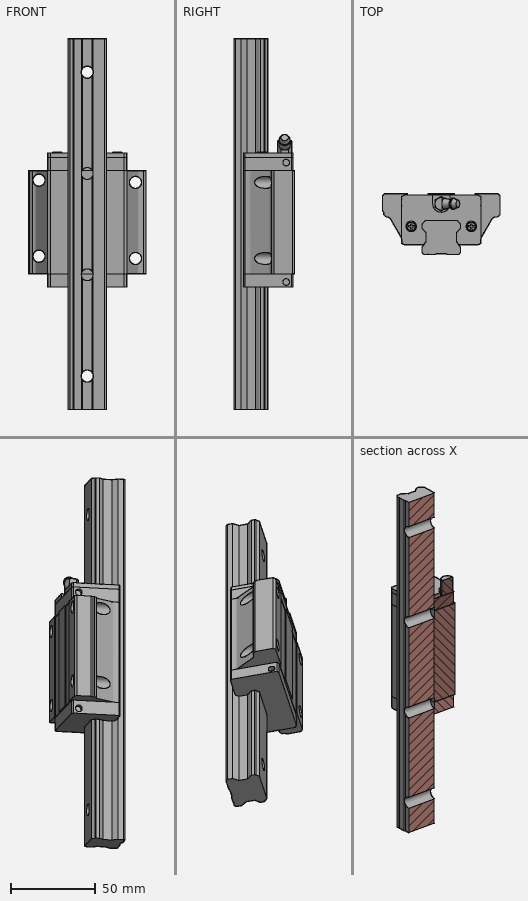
import cadquery as cq
import math


RAIL_LENGTH = 220.0
RAIL_HEIGHT = 20.2
RAIL_HALF_WIDTH = 11.5
RAIL_NECK_HALF_WIDTH = 9.0
RAIL_BASE_CHAMFER = 1.0
RAIL_FOOT_TOP = 4.5
RAIL_NECK_BOTTOM = 7.7
RAIL_NECK_TOP = 13.0
RAIL_HEAD_BOTTOM = 15.2
RAIL_CHAMFER = 1.8
RAIL_EASE_WIDTH = 0.33
RAIL_EASE_HEIGHT = 0.7
RAIL_HOLE_DIAMETER = 7.0
RAIL_HOLE_PITCH = 60.0
RAIL_HOLE_COUNT = 4
RELIEF_MOUTH_HALF_WIDTH = 3.5
RELIEF_FLOOR_HALF_WIDTH = 2.9
RELIEF_DEPTH = 0.5
MARK_GROOVE_X = -8.1
MARK_GROOVE_WIDTH = 0.7
MARK_GROOVE_DEPTH = 0.33

TOTAL_HEIGHT = 36.0
BLOCK_LENGTH = 61.2
BLOCK_CENTER_Z = 1.0
FLANGE_HALF_WIDTH = 35.0
FLANGE_BOTTOM = 22.2
FLANGE_TOP_CHAMFER = 1.3
FLANGE_BOTTOM_CHAMFER = 1.5
STEP_DEPTH = 0.9
STEP_TOP = 26.2
STEP_BOTTOM = 24.9
BODY_HALF_WIDTH = 23.5
BODY_BOTTOM = 5.7
BODY_CHAMFER_WIDTH = 1.65
BODY_CHAMFER_HEIGHT = 0.9
SLOPE_BOTTOM = 9.7
SLOPE_ANGLE = 30.0
SLOPE_TOP_FILLET = 2.6
SLOPE_BOTTOM_FILLET = 4.0
PAD_INNER_HALF_WIDTH = 8.0
PAD_OUTER_X = 20.0
CHANNEL_DEPTH = 0.7
BOLT_HOLE_DIAMETER = 7.0
BOLT_HOLE_X = 28.5
BOLT_HOLE_PITCH = 45.0
BOLT_CENTER_Z_LEFT = 3.5
BOLT_CENTER_Z_RIGHT = 2.2

CAP_LENGTH = 8.0
CAP_TOP = 35.2
SEAL_THICKNESS = 2.6
PORT_DIAMETER = 4.0
PORT_DEPTH = 3.3
PORT_Y = 31.0
PORT_INSET = 4.8
SCREW_X = 17.8
SCREW_Y = 16.7
SCREW_HEAD_RADIUS = 3.0
SCREW_CROWN_RADIUS = 2.5
SCREW_HEAD_HEIGHT = 0.55
SCREW_SLOT_LENGTH = 3.0
SCREW_SLOT_WIDTH = 0.9
NOTCH_RADIUS = 5.0

NIPPLE_Y = 30.1
NIPPLE_CORNERS = 8.5
NIPPLE_TOP_Z = 49.7
NIPPLE_CORNER_BEVEL = 0.7
NIPPLE_FLAT_EDGE_X = 0.5
NOZZLE_ANGLE = 30.0
NOZZLE_BASE_RADIUS = 3.3
NOZZLE_NECK_RADIUS = 2.2
NOZZLE_HEAD_RADIUS = 3.3
NOZZLE_TIP_RADIUS = 2.2
NOZZLE_ROOT = 0.7
NOZZLE_NECK_AT = 4.2
NOZZLE_HEAD_START = 5.3
NOZZLE_HEAD_END = 6.2
NOZZLE_LENGTH = 9.0

BLOCK_TOP_Z = BLOCK_CENTER_Z + BLOCK_LENGTH / 2
BLOCK_BOTTOM_Z = BLOCK_CENTER_Z - BLOCK_LENGTH / 2
SEAL_Z = BLOCK_TOP_Z + CAP_LENGTH
SEAL_TOP_Z = SEAL_Z + SEAL_THICKNESS


def prism(points, z_start, length):
    """Extrude a closed XY outline upward from z_start."""
    return cq.Workplane("XY").workplane(offset=z_start).polyline(points).close().extrude(length)


def mirrored(right_side):
    """Close an outline from its +X side, listed from bottom to top."""
    return right_side + [(-x, y) for x, y in reversed(right_side)]


def cross_hole(x, z, diameter):
    """Cylinder along Y through the full height of the guide."""
    return (
        cq.Workplane("XZ", origin=(x, TOTAL_HEIGHT, z))
        .circle(diameter / 2)
        .extrude(TOTAL_HEIGHT)
    )


def rail_blank(z_start, length):
    """Plain rail profile, also used to cut the passage in the carriage parts."""
    right_side = [
        (RAIL_HALF_WIDTH - RAIL_BASE_CHAMFER, 0),
        (RAIL_HALF_WIDTH, RAIL_BASE_CHAMFER),
        (RAIL_HALF_WIDTH, RAIL_FOOT_TOP),
        (RAIL_NECK_HALF_WIDTH, RAIL_NECK_BOTTOM),
        (RAIL_NECK_HALF_WIDTH, RAIL_NECK_TOP),
        (RAIL_HALF_WIDTH - RAIL_EASE_WIDTH, RAIL_HEAD_BOTTOM),
        (RAIL_HALF_WIDTH, RAIL_HEAD_BOTTOM + RAIL_EASE_HEIGHT),
        (RAIL_HALF_WIDTH, RAIL_HEIGHT - RAIL_CHAMFER - RAIL_EASE_HEIGHT),
        (RAIL_HALF_WIDTH - RAIL_EASE_WIDTH, RAIL_HEIGHT - RAIL_CHAMFER),
        (RAIL_HALF_WIDTH - RAIL_EASE_WIDTH - RAIL_CHAMFER, RAIL_HEIGHT),
    ]
    return prism(mirrored(right_side), z_start, length)


def make_rail():
    bottom_z = -RAIL_LENGTH / 2
    rail = rail_blank(bottom_z, RAIL_LENGTH)

    relief = [(RELIEF_MOUTH_HALF_WIDTH, 0), (RELIEF_FLOOR_HALF_WIDTH, RELIEF_DEPTH)]
    rail = rail.cut(prism(mirrored(relief), bottom_z, RAIL_LENGTH))

    mark_groove = [
        (MARK_GROOVE_X - MARK_GROOVE_WIDTH / 2, 0),
        (MARK_GROOVE_X + MARK_GROOVE_WIDTH / 2, 0),
        (MARK_GROOVE_X, MARK_GROOVE_DEPTH),
    ]
    rail = rail.cut(prism(mark_groove, bottom_z, RAIL_LENGTH))

    for i in range(RAIL_HOLE_COUNT):
        z = (i - (RAIL_HOLE_COUNT - 1) / 2) * RAIL_HOLE_PITCH
        rail = rail.cut(cross_hole(0, z, RAIL_HOLE_DIAMETER))
    return rail


def make_block():
    slope_top_x = BODY_HALF_WIDTH + (FLANGE_BOTTOM - SLOPE_BOTTOM) * math.tan(math.radians(SLOPE_ANGLE))
    right_side = [
        (BODY_HALF_WIDTH - BODY_CHAMFER_WIDTH, BODY_BOTTOM),
        (BODY_HALF_WIDTH, BODY_BOTTOM + BODY_CHAMFER_HEIGHT),
        (BODY_HALF_WIDTH, SLOPE_BOTTOM),
        (slope_top_x, FLANGE_BOTTOM),
        (FLANGE_HALF_WIDTH - FLANGE_BOTTOM_CHAMFER, FLANGE_BOTTOM),
        (FLANGE_HALF_WIDTH, FLANGE_BOTTOM + FLANGE_BOTTOM_CHAMFER),
        (FLANGE_HALF_WIDTH, TOTAL_HEIGHT - FLANGE_TOP_CHAMFER),
        (FLANGE_HALF_WIDTH - FLANGE_TOP_CHAMFER, TOTAL_HEIGHT),
        (PAD_OUTER_X, TOTAL_HEIGHT),
        (PAD_OUTER_X, TOTAL_HEIGHT - CHANNEL_DEPTH),
        (PAD_INNER_HALF_WIDTH, TOTAL_HEIGHT - CHANNEL_DEPTH),
        (PAD_INNER_HALF_WIDTH, TOTAL_HEIGHT),
    ]
    block = prism(mirrored(right_side), BLOCK_BOTTOM_Z, BLOCK_LENGTH)

    for side in (-1, 1):
        for x, y, radius in (
            (slope_top_x, FLANGE_BOTTOM, SLOPE_TOP_FILLET),
            (BODY_HALF_WIDTH, SLOPE_BOTTOM, SLOPE_BOTTOM_FILLET),
        ):
            corner = cq.NearestToPointSelector((side * x, y, BLOCK_CENTER_Z))
            block = block.edges(corner).fillet(radius)

    step_x = -FLANGE_HALF_WIDTH + STEP_DEPTH
    step = [
        (-FLANGE_HALF_WIDTH, STEP_TOP),
        (step_x, STEP_BOTTOM),
        (step_x, FLANGE_BOTTOM + FLANGE_BOTTOM_CHAMFER),
        (step_x + FLANGE_BOTTOM_CHAMFER, FLANGE_BOTTOM),
        (-FLANGE_HALF_WIDTH, FLANGE_BOTTOM),
    ]
    block = block.cut(prism(step, BLOCK_BOTTOM_Z, BLOCK_LENGTH))

    for x, center_z in ((-BOLT_HOLE_X, BOLT_CENTER_Z_LEFT), (BOLT_HOLE_X, BOLT_CENTER_Z_RIGHT)):
        for end in (-1, 1):
            z = center_z + end * BOLT_HOLE_PITCH / 2
            block = block.cut(cross_hole(x, z, BOLT_HOLE_DIAMETER))
    return block.cut(rail_blank(BLOCK_BOTTOM_Z, BLOCK_LENGTH))


def end_plate(z_start, thickness):
    """Saddle-shaped plate around the rail, shared by the end caps and the seal."""
    right_side = [
        (BODY_HALF_WIDTH - BODY_CHAMFER_WIDTH, BODY_BOTTOM),
        (BODY_HALF_WIDTH, BODY_BOTTOM + BODY_CHAMFER_HEIGHT),
        (BODY_HALF_WIDTH, CAP_TOP - BODY_CHAMFER_HEIGHT),
        (BODY_HALF_WIDTH - BODY_CHAMFER_WIDTH, CAP_TOP),
    ]
    return prism(mirrored(right_side), z_start, thickness).cut(rail_blank(z_start, thickness))


def make_end_cap(z_start, port_z):
    cap = end_plate(z_start, CAP_LENGTH)
    for side in (-1, 1):
        port = (
            cq.Workplane("YZ", origin=(side * BODY_HALF_WIDTH, PORT_Y, port_z))
            .circle(PORT_DIAMETER / 2)
            .extrude(-side * PORT_DEPTH)
        )
        cap = cap.cut(port)
    return cap


def screw_head(x):
    """Tapered screw head with a cross recess, standing on the seal plate."""
    head = (
        cq.Workplane("XY", origin=(x, SCREW_Y, SEAL_TOP_Z))
        .circle(SCREW_HEAD_RADIUS)
        .workplane(offset=SCREW_HEAD_HEIGHT)
        .circle(SCREW_CROWN_RADIUS)
        .loft()
    )
    top = cq.Workplane("XY", origin=(x, SCREW_Y, SEAL_TOP_Z + SCREW_HEAD_HEIGHT))
    for length, width in (
        (SCREW_SLOT_LENGTH, SCREW_SLOT_WIDTH),
        (SCREW_SLOT_WIDTH, SCREW_SLOT_LENGTH),
    ):
        head = head.cut(top.rect(length, width).extrude(-SCREW_HEAD_HEIGHT))
    return head


def make_seal():
    seal = end_plate(SEAL_Z, SEAL_THICKNESS)
    notch = (
        cq.Workplane("XY", origin=(0, 0, SEAL_Z))
        .moveTo(NOTCH_RADIUS, CAP_TOP)
        .lineTo(NOTCH_RADIUS, NIPPLE_Y)
        .threePointArc((0, NIPPLE_Y - NOTCH_RADIUS), (-NOTCH_RADIUS, NIPPLE_Y))
        .lineTo(-NOTCH_RADIUS, CAP_TOP)
        .close()
        .extrude(SEAL_THICKNESS)
    )
    seal = seal.cut(notch)
    for x in (-SCREW_X, SCREW_X):
        seal = seal.union(screw_head(x))
    return seal


def make_nipple():
    flat_radius = NIPPLE_CORNERS / 2 * math.cos(math.pi / 6)
    corner_bevel = NIPPLE_CORNERS / 2 - flat_radius
    foot = (
        cq.Workplane("XY", origin=(0, NIPPLE_Y, SEAL_Z))
        .transformed(rotate=(0, 0, 90))
        .polygon(6, NIPPLE_CORNERS)
        .extrude(NIPPLE_TOP_Z - SEAL_Z)
    )
    round_envelope = (
        cq.Workplane("XY", origin=(0, NIPPLE_Y, SEAL_Z))
        .circle(NIPPLE_CORNERS / 2)
        .extrude(NIPPLE_TOP_Z - SEAL_Z)
        .faces(">Z")
        .chamfer(NIPPLE_CORNER_BEVEL, corner_bevel)
    )
    foot = foot.intersect(round_envelope)

    angle = math.radians(NOZZLE_ANGLE)
    axis = cq.Vector(math.cos(angle), 0, math.sin(angle))
    slope_edge = cq.Vector(NIPPLE_FLAT_EDGE_X, NIPPLE_Y, NIPPLE_TOP_Z)
    slope_plane = cq.Plane(origin=slope_edge, xDir=(0, 1, 0), normal=axis)
    cutter_size = 3 * NIPPLE_CORNERS
    foot = foot.cut(cq.Workplane(slope_plane).rect(cutter_size, cutter_size).extrude(NIPPLE_CORNERS))

    run = (flat_radius - NIPPLE_FLAT_EDGE_X) / 2
    nozzle_start = slope_edge + cq.Vector(run, 0, -run / math.tan(angle))
    nozzle_plane = cq.Plane(origin=nozzle_start, xDir=axis, normal=(0, -1, 0))
    nozzle = (
        cq.Workplane(nozzle_plane)
        .polyline([
            (-NOZZLE_ROOT, 0),
            (-NOZZLE_ROOT, NOZZLE_BASE_RADIUS),
            (0, NOZZLE_BASE_RADIUS),
            (NOZZLE_NECK_AT, NOZZLE_NECK_RADIUS),
            (NOZZLE_HEAD_START, NOZZLE_HEAD_RADIUS),
            (NOZZLE_HEAD_END, NOZZLE_HEAD_RADIUS),
            (NOZZLE_LENGTH, NOZZLE_TIP_RADIUS),
            (NOZZLE_LENGTH, 0),
        ])
        .close()
        .revolve(360, (0, 0), (1, 0))
    )
    return foot.union(nozzle)


rail = make_rail()
block = make_block()
top_cap = make_end_cap(BLOCK_TOP_Z, BLOCK_TOP_Z + PORT_INSET)
bottom_cap = make_end_cap(BLOCK_BOTTOM_Z - CAP_LENGTH, BLOCK_BOTTOM_Z - PORT_INSET)
seal = make_seal()
nipple = make_nipple()

result = cq.Compound.makeCompound([
    rail.val(),
    block.val(),
    top_cap.val(),
    bottom_cap.val(),
    seal.val(),
    nipple.val(),
])